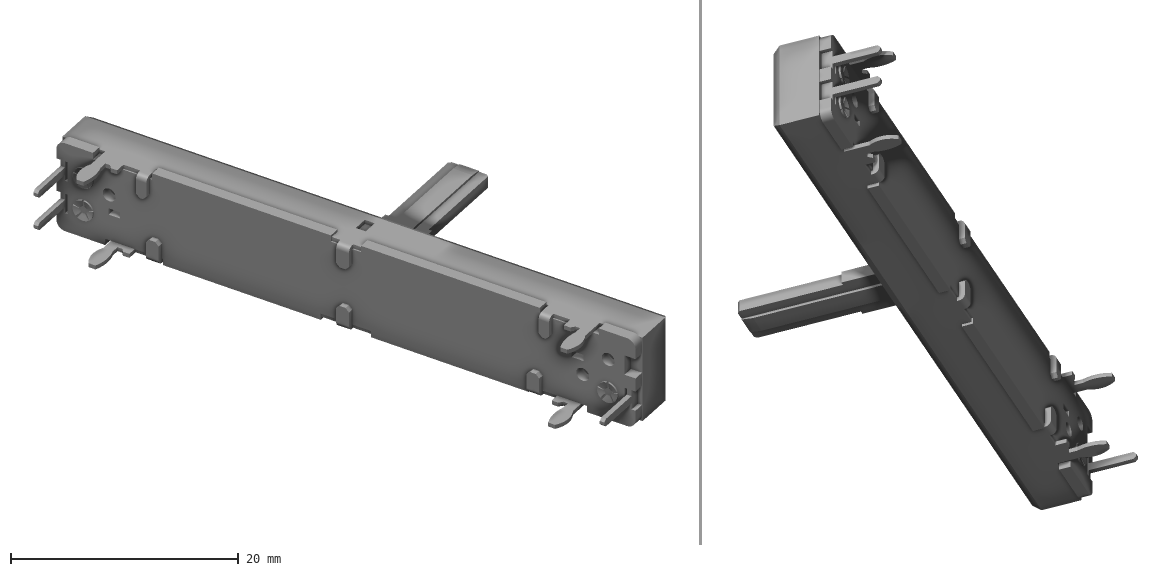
import cadquery as cq


LENGTH = 60.0
COVER_HEIGHT = 8.8
COVER_BACK = 5.6
COVER_BEVEL_DEPTH = 0.7
COVER_BEVEL_INSET = 0.4
SHEET = 0.4
WINDOW_WIDTH = 1.0
WINDOW_DEPTH = 1.5
WINDOW_FRONT = 2.45

BOARD_LENGTH = 59.9
BOARD_HEIGHT = 9.3
BOARD_THICKNESS = 1.1
BOARD_CORNER_RADIUS = 0.9

WALL_OUTER = COVER_HEIGHT / 2
WALL_INNER = WALL_OUTER - SHEET
LOWER_SHIFT = 1.25
SIDE_NOTCH_OUTER = 26.15
UPPER_NOTCH_INNER = 20.05
UPPER_TAB_INNER = 20.3
LOWER_NOTCH_INNER = 18.9
LOWER_TAB_INNER = 19.0
TAB_FRONT = 0.15
UPPER_CENTRE_NOTCH = 3.1
LOWER_CENTRE_NOTCH = 5.2

CLIP_WIDTH = 1.3
UPPER_SIDE_CLIP_WIDTH = 1.1
CLIP_HEIGHT = 0.57
CLIP_END = 2.05
CLIP_BEND_RADIUS = 0.55
CLIP_CORNER = 0.35

LEG_OUTER = 25.55
LEG_INNER = 24.55
LEG_BULGE_OUTER = 25.85
LEG_BULGE_INNER = 24.35
LEG_BULGE_Y = -2.7
LEG_NECK_Y = -1.3
LEG_TIP_Y = -4.0
LEG_TIP_OUTER = 25.4
LEG_TIP_INNER = 24.65
RELIEF_TOP = -0.55
RELIEF_INNER = 24.05
STUB_OUTER = 23.75
STUB_INNER = 23.1
STUB_FRONT = -0.9

TERMINAL_Z = 1.71
TERMINAL_HEIGHT = 2.05
TERMINAL_THICKNESS = 0.5
TERMINAL_OUTER = 29.5
TERMINAL_POCKET_INNER = 28.8
PIN_WIDTH = 0.8
PIN_TIP_Y = -4.5
PIN_TIP_CHAMFER = 0.25
RIVET_X = 27.1
RIVET_RADIUS = 1.05
RIVET_HEIGHT = 0.2
RIVET_BORE = 0.35
RIVET_PETALS = 5
RIVET_SLIT = 0.2
HOLE_RADIUS = 0.65
LOCATING_HOLE = (24.5, 0.81)
KEY_SLOT = (23.95, 0.95)
KEY_SLOT_LENGTH = 1.2
KEY_SLOT_HEIGHT = 0.65

LEVER_TIP = 20.5
LEVER_SHOULDER = 10.45
LEVER_WIDTH = 4.15
LEVER_BASE_WIDTH = 4.85
LEVER_THICKNESS = 1.2
LEVER_CORNER = 0.25
RIDGE_WIDTH = 2.0
RIDGE_HEIGHT = 0.25
RIDGE_TIP_DROP = 0.15
RIDGE_BEVEL_START = 19.45


def box(x0, x1, y0, y1, z0, z1):
    """Box between two corners, given in any order."""
    x, y, z = (min(x0, x1), min(y0, y1), min(z0, z1))
    return cq.Workplane("XY").box(
        abs(x1 - x0), abs(y1 - y0), abs(z1 - z0), centered=False
    ).translate((x, y, z))


def face_plane(x, z, y=0.0):
    """Sketch plane parallel to the board face; positive extrusion goes towards -Y."""
    return cq.Workplane("XZ", origin=(x, y, z))


def make_cover():
    depth = COVER_BACK - BOARD_THICKNESS
    cover = face_plane(0, 0, BOARD_THICKNESS).rect(LENGTH, COVER_HEIGHT).extrude(-depth)
    cover = cover.faces(">Y").chamfer(COVER_BEVEL_DEPTH, COVER_BEVEL_INSET)
    window = box(
        -WINDOW_WIDTH / 2, WINDOW_WIDTH / 2,
        WINDOW_FRONT, WINDOW_FRONT + WINDOW_DEPTH,
        WALL_INNER, WALL_OUTER,
    )
    return cover.cut(window)


def make_board():
    board = face_plane(0, 0).rect(BOARD_LENGTH, BOARD_HEIGHT).extrude(-BOARD_THICKNESS)
    board = board.edges("|Y").fillet(BOARD_CORNER_RADIUS)

    def notch(x0, x1, edge):
        return box(x0, x1, 0, BOARD_THICKNESS, edge * WALL_INNER, edge * BOARD_HEIGHT / 2)

    for edge, side_outer, side_inner, centre_width in (
        (1, SIDE_NOTCH_OUTER, UPPER_NOTCH_INNER, UPPER_CENTRE_NOTCH),
        (-1, SIDE_NOTCH_OUTER - LOWER_SHIFT, LOWER_NOTCH_INNER, LOWER_CENTRE_NOTCH),
    ):
        board = board.cut(notch(-centre_width / 2, centre_width / 2, edge))
        for end in (-1, 1):
            board = board.cut(notch(end * side_outer, end * side_inner, edge))

    for end in (-1, 1):
        for z in (-TERMINAL_Z, TERMINAL_Z):
            board = board.cut(box(
                end * TERMINAL_POCKET_INNER, end * LENGTH / 2,
                0, BOARD_THICKNESS,
                z - TERMINAL_HEIGHT / 2, z + TERMINAL_HEIGHT / 2,
            ))

    board = board.cut(face_plane(RIVET_X, TERMINAL_Z).circle(HOLE_RADIUS).extrude(-BOARD_THICKNESS))

    for turn in (-1, 1):
        x, z = LOCATING_HOLE
        board = board.cut(face_plane(turn * x, -turn * z).circle(HOLE_RADIUS).extrude(-BOARD_THICKNESS))
        x, z = KEY_SLOT
        slot = face_plane(turn * x, turn * z).rect(KEY_SLOT_LENGTH, KEY_SLOT_HEIGHT)
        board = board.cut(slot.extrude(-BOARD_THICKNESS))
    return board


def make_clip(x, width):
    """Clip folded from the upper cover wall onto the board face, centred at x."""
    clip = box(
        x - width / 2, x + width / 2,
        -CLIP_HEIGHT, TAB_FRONT, CLIP_END, WALL_OUTER,
    )
    clip = clip.edges("|Y and <Z").chamfer(CLIP_CORNER)
    return clip.edges("|X and >Z and <Y").fillet(CLIP_BEND_RADIUS)


def make_side_tab(shift, inner, clip_width):
    """Right-hand tab on the upper wall: snap leg, relief, stub, wall section and clip.

    The leg and stub move towards the middle by shift; the wall section ends at inner.
    """
    outline = (
        cq.Workplane("XY", origin=(-shift, 0, WALL_INNER))
        .moveTo(LEG_OUTER, BOARD_THICKNESS)
        .lineTo(LEG_OUTER, LEG_NECK_Y)
        .threePointArc((LEG_BULGE_OUTER, LEG_BULGE_Y), (LEG_TIP_OUTER, LEG_TIP_Y))
        .lineTo(LEG_TIP_INNER, LEG_TIP_Y)
        .threePointArc((LEG_BULGE_INNER, LEG_BULGE_Y), (LEG_INNER, LEG_NECK_Y))
        .lineTo(LEG_INNER, RELIEF_TOP)
        .lineTo(RELIEF_INNER, RELIEF_TOP)
        .lineTo(STUB_OUTER, STUB_FRONT)
        .lineTo(STUB_INNER, STUB_FRONT)
        .lineTo(STUB_INNER, TAB_FRONT)
        .lineTo(inner + shift, TAB_FRONT)
        .lineTo(inner + shift, BOARD_THICKNESS)
        .close()
    )
    return outline.extrude(SHEET).union(make_clip(inner + clip_width / 2, clip_width))


def make_centre_tab(width):
    tab = box(-width / 2, width / 2, TAB_FRONT, BOARD_THICKNESS, WALL_INNER, WALL_OUTER)
    return tab.union(make_clip(0, CLIP_WIDTH))


def make_terminal(end, z):
    """Terminal blade at one end (-1 left, +1 right) with its soldering pin."""
    outer = end * TERMINAL_OUTER
    inner = end * (TERMINAL_OUTER - TERMINAL_THICKNESS)
    half = TERMINAL_HEIGHT / 2
    blade = box(outer, inner, 0, BOARD_THICKNESS, z - half, z + half)
    pin = box(outer, inner, PIN_TIP_Y, 0, z - PIN_WIDTH / 2, z + PIN_WIDTH / 2)
    pin = pin.faces("<Y").edges("|X").chamfer(PIN_TIP_CHAMFER)
    return blade.union(pin)


def make_rivet(x, z):
    """Flared eyelet: a disc with a conical mouth, split into petals."""
    mouth = (
        face_plane(0, 0)
        .circle(RIVET_BORE)
        .workplane(offset=RIVET_HEIGHT)
        .circle(RIVET_RADIUS)
        .loft()
    )
    rivet = face_plane(0, 0).circle(RIVET_RADIUS).extrude(RIVET_HEIGHT).cut(mouth)
    slit = box(-RIVET_SLIT / 2, RIVET_SLIT / 2, -RIVET_HEIGHT, 0, 0, RIVET_RADIUS)
    for i in range(RIVET_PETALS):
        rivet = rivet.cut(slit.rotate((0, 0, 0), (0, 1, 0), i * 360 / RIVET_PETALS))
    return rivet.translate((x, 0, z))


def make_lever():
    half = LEVER_THICKNESS / 2
    blade = box(-LEVER_WIDTH / 2, LEVER_WIDTH / 2, COVER_BACK, LEVER_TIP, -half, half)
    blade = blade.edges("|Z and >Y").chamfer(LEVER_CORNER)
    base = box(-LEVER_BASE_WIDTH / 2, LEVER_BASE_WIDTH / 2, COVER_BACK, LEVER_SHOULDER, -half, half)
    crest = half + RIDGE_HEIGHT
    tip = crest - RIDGE_TIP_DROP
    ridge = (
        cq.Workplane("YZ")
        .polyline([
            (COVER_BACK, -crest), (RIDGE_BEVEL_START, -crest), (LEVER_TIP, -tip),
            (LEVER_TIP, tip), (RIDGE_BEVEL_START, crest), (COVER_BACK, crest),
        ])
        .close()
        .extrude(RIDGE_WIDTH / 2, both=True)
    )
    return blade.union(base).union(ridge)


result = make_cover().union(make_board()).union(make_lever())

upper_tab = make_side_tab(0, UPPER_TAB_INNER, UPPER_SIDE_CLIP_WIDTH)
lower_tab = make_side_tab(LOWER_SHIFT, LOWER_TAB_INNER, CLIP_WIDTH).mirror("XY")
for tab in (upper_tab, lower_tab):
    result = result.union(tab).union(tab.mirror("YZ"))
result = result.union(make_centre_tab(UPPER_CENTRE_NOTCH))
result = result.union(make_centre_tab(LOWER_CENTRE_NOTCH).mirror("XY"))

for end, z in ((-1, TERMINAL_Z), (-1, -TERMINAL_Z), (1, -TERMINAL_Z)):
    result = result.union(make_terminal(end, z))
    result = result.union(make_rivet(end * RIVET_X, z))